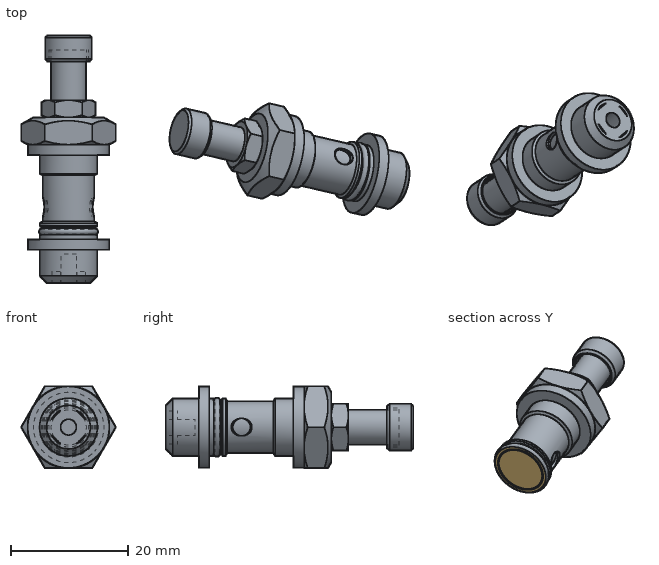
import cadquery as cq
import math

overall_length = 42.24

body_radius = 4.93
neck_radius = 4.43
washer_radius = 6.95
stem_radius = 3.0
head_radius = 4.0

front_washer_start = 5.65
rear_washer_start = 21.8
washer_thickness = 1.8
front_washer_end = front_washer_start + washer_thickness
rear_washer_end = rear_washer_start + washer_thickness
groove_start = 8.2
groove_end = 9.5
neck_start = 10.5
neck_end = 18.37
large_hex_end = 28.26
small_hex_end = 31.17
head_length = 4.5
head_start = overall_length - head_length

square_edge = (0.0, 0.0)
tip_chamfer = (1.2, 1.2)
groove_chamfer = (0.25, 0.25)
shoulder_chamfer = (0.28, body_radius - neck_radius)
head_end_chamfer = (0.4, 0.4)
head_stem_chamfer = (0.5, 0.4)

head_recess_radius = 3.35
head_recess_depth = 2.0

groove_floor_radius = 4.1
ring_section_radius = 0.55
ring_outer_radius = 5.05
ring_position = groove_start + ring_section_radius

large_hex_flats = 14.0
small_hex_flats = 8.0
large_hex_front_radius = 7.0
large_hex_rear_radius = 6.0
small_hex_end_radius = 4.0
hex_chamfer_slope = math.tan(math.radians(30))

cross_hole_radius = 1.5
cross_hole_position = 12.95
cross_hole_floor_radius = 3.85
countersink_start = math.sqrt(neck_radius**2 - cross_hole_radius**2)

centre_hole_diameter = 2.7
centre_hole_depth = 5.0
bore_diameter = 6.3
plug_flats = 5.95
slit_depth = 2.0


def cylinder(radius, start, end):
    """Solid cylinder about the Y axis between two positions."""
    return cq.Workplane("XZ", origin=(0, start, 0)).circle(radius).extrude(start - end)


def turned_section(radius, start, end, start_chamfer, end_chamfer):
    """Solid of revolution about the Y axis with a conical chamfer at each end."""
    start_length, start_drop = start_chamfer
    end_length, end_drop = end_chamfer
    outline = cq.Workplane("XY").moveTo(0, start).lineTo(radius - start_drop, start)
    if start_length > 0:
        outline = outline.lineTo(radius, start + start_length)
    outline = outline.lineTo(radius, end - end_length)
    if end_length > 0:
        outline = outline.lineTo(radius - end_drop, end)
    return outline.lineTo(0, end).close().revolve(360, (0, 0, 0), (0, 1, 0))


def cone_chamfer(corner_radius, end_radius):
    """Hexagon chamfer, as (length along Y, radial drop), from the corners to the end face."""
    radial_drop = corner_radius - end_radius
    return (radial_drop * hex_chamfer_slope, radial_drop)


def hexagon(flats, start, end, start_radius, end_radius):
    """Hexagon with corners on X, its corners turned down by a cone at each end."""
    corner_radius = flats / math.sqrt(3)
    start_chamfer = cone_chamfer(corner_radius, start_radius)
    end_chamfer = cone_chamfer(corner_radius, end_radius)
    prism = cq.Workplane("XZ", origin=(0, start, 0)).polygon(6, 2 * corner_radius).extrude(start - end)
    return prism.intersect(turned_section(corner_radius, start, end, start_chamfer, end_chamfer))


def o_ring():
    """Torus about the Y axis, seated in its groove."""
    centre_radius = ring_outer_radius - ring_section_radius
    return (
        cq.Workplane("XY")
        .moveTo(-centre_radius, ring_position)
        .circle(ring_section_radius)
        .revolve(360, (0, 0, 0), (0, 1, 0))
    )


def cross_hole():
    """Countersunk hole on the +X side, stopping at a cylindrical floor around the axis."""
    countersink_depth = body_radius - countersink_start
    drill = (
        cq.Workplane("XY")
        .moveTo(0, cross_hole_position)
        .lineTo(0, cross_hole_position + cross_hole_radius)
        .lineTo(countersink_start, cross_hole_position + cross_hole_radius)
        .lineTo(body_radius, cross_hole_position + cross_hole_radius + countersink_depth)
        .lineTo(body_radius, cross_hole_position)
        .close()
        .revolve(360, (0, cross_hole_position, 0), (1, cross_hole_position, 0))
    )
    return drill.cut(cylinder(cross_hole_floor_radius, neck_start, neck_end))


def plug_slits():
    """Four segments left between the round bore and the flats of the plug."""
    bore = cylinder(bore_diameter / 2, 0, slit_depth)
    plug = cq.Workplane("XZ").rect(plug_flats, plug_flats).extrude(-slit_depth)
    return bore.cut(plug.rotate((0, 0, 0), (0, 1, 0), 45))


def head_recess():
    """Ring of clearance between the stem and the head."""
    recess_end = head_start + head_recess_depth
    stem = cylinder(stem_radius, head_start, recess_end)
    return cylinder(head_recess_radius, head_start, recess_end).cut(stem)


sections = [
    turned_section(body_radius, 0, groove_start, tip_chamfer, square_edge),
    cylinder(washer_radius, front_washer_start, front_washer_end),
    cylinder(groove_floor_radius, groove_start, groove_end),
    o_ring(),
    turned_section(body_radius, groove_end, neck_start, groove_chamfer, shoulder_chamfer),
    cylinder(neck_radius, neck_start, neck_end),
    turned_section(body_radius, neck_end, rear_washer_start, shoulder_chamfer, square_edge),
    cylinder(washer_radius, rear_washer_start, rear_washer_end),
    hexagon(large_hex_flats, rear_washer_end, large_hex_end, large_hex_front_radius, large_hex_rear_radius),
    hexagon(small_hex_flats, large_hex_end, small_hex_end, small_hex_end_radius, small_hex_end_radius),
    cylinder(stem_radius, small_hex_end, head_start),
    turned_section(head_radius, head_start, overall_length, head_stem_chamfer, head_end_chamfer),
]

right_cross_hole = cross_hole()
left_cross_hole = right_cross_hole.mirror("YZ")
centre_hole = cylinder(centre_hole_diameter / 2, 0, centre_hole_depth)
cutters = [centre_hole, plug_slits(), right_cross_hole, left_cross_hole, head_recess()]

result = sections[0]
for section in sections[1:]:
    result = result.union(section)
for cutter in cutters:
    result = result.cut(cutter)